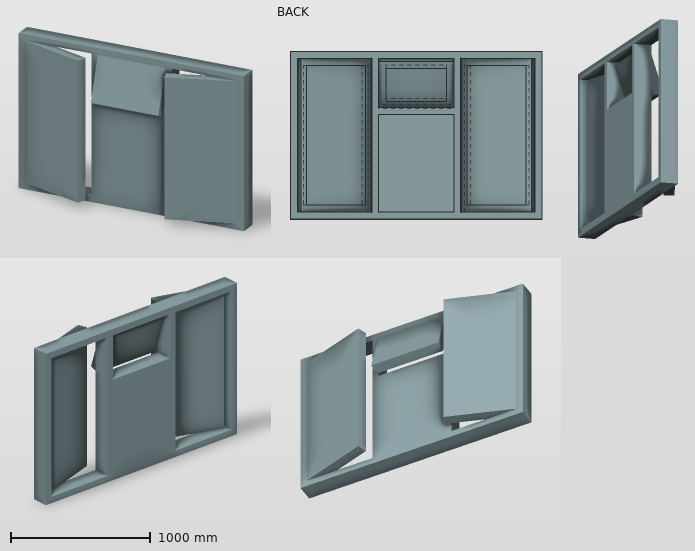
import cadquery as cq


frame_width = 1800.0
frame_height = 1200.0
frame_depth = 131.0
frame_bar = 50.0
inner_bar = 49.0

centre_width = 540.0
side_width = (frame_width - centre_width - 2 * frame_bar - 2 * inner_bar) / 2
side_height = frame_height - 2 * frame_bar
vent_height = 351.0
fixed_height = side_height - vent_height - inner_bar

opening_top = frame_height - frame_bar
hinge_x = frame_width / 2 - frame_bar
side_centre_x = hinge_x - side_width / 2

sash_depth = 77.0
side_stile = 45.0
vent_stile = 54.0
sash_rail = 50.0
open_angle = 18.0


def panel(width, height, depth, centre_x, bottom_z):
    """Upright slab with its front face in the plane Y = 0."""
    slab = cq.Workplane("XY").box(width, depth, height, centered=(True, False, False))
    return slab.translate((centre_x, 0, bottom_z))


def make_frame():
    """Outer frame with two tall side openings and two stacked centre openings."""
    body = panel(frame_width, frame_height, frame_depth, 0, 0)
    for side in (-1, 1):
        body = body.cut(panel(side_width, side_height, frame_depth, side * side_centre_x, frame_bar))
    body = body.cut(make_fixed_pane())
    return body.cut(panel(centre_width, vent_height, frame_depth, 0, opening_top - vent_height))


def make_fixed_pane():
    """Pane that fills the lower centre opening."""
    return panel(centre_width, fixed_height, frame_depth, 0, frame_bar)


def make_sash_pane(width, height, centre_x, bottom_z, stile):
    """Closed sash pane, flush with both faces of its sash frame."""
    pane_width = width - 2 * stile
    pane_height = height - 2 * sash_rail
    return panel(pane_width, pane_height, sash_depth, centre_x, bottom_z + sash_rail)


def make_sash_frame(width, height, centre_x, bottom_z, stile):
    """Closed sash frame with an opening for its pane."""
    outer = panel(width, height, sash_depth, centre_x, bottom_z)
    return outer.cut(make_sash_pane(width, height, centre_x, bottom_z, stile))


def swing_side(body, side):
    """Open a side sash about its outer front vertical edge."""
    return body.rotate((side * hinge_x, 0, 0), (side * hinge_x, 0, 1), side * open_angle)


def swing_vent(body):
    """Open the vent about its top front edge."""
    return body.rotate((0, 0, opening_top), (1, 0, opening_top), -open_angle)


frame = make_frame()
fixed_pane = make_fixed_pane()

side_frames = []
side_panes = []
for side in (-1, 1):
    side_sash = (side_width, side_height, side * side_centre_x, frame_bar, side_stile)
    side_frames.append(swing_side(make_sash_frame(*side_sash), side))
    side_panes.append(swing_side(make_sash_pane(*side_sash), side))

vent_sash = (centre_width, vent_height, 0, opening_top - vent_height, vent_stile)
vent_frame = swing_vent(make_sash_frame(*vent_sash))
vent_pane = swing_vent(make_sash_pane(*vent_sash))

result = cq.Compound.makeCompound([
    frame.val(),
    fixed_pane.val(),
    *[body.val() for body in side_frames],
    *[body.val() for body in side_panes],
    vent_frame.val(),
    vent_pane.val(),
])